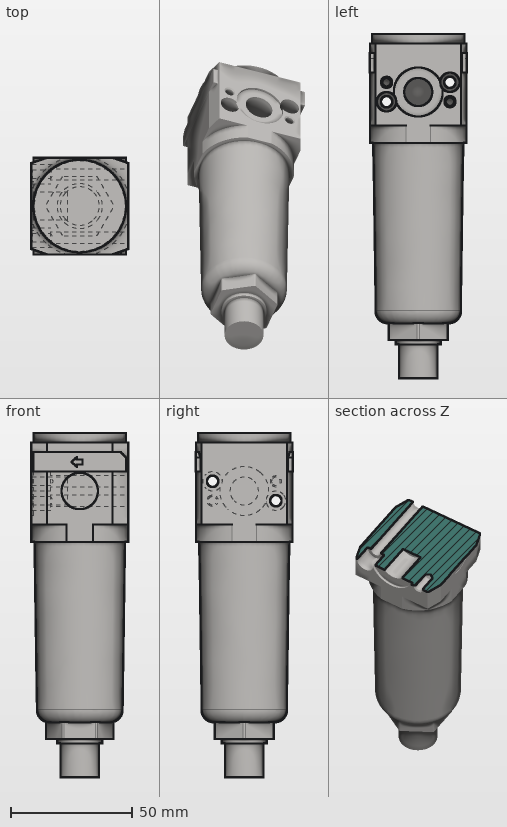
import cadquery as cq
import math

FLANGE_BOTTOM_Z = 14.0
HEX_BOTTOM_Z = 15.7
BOWL_BOTTOM_Z = 22.6
BOWL_ROUND_TOP_Z = 28.0
BODY_BOTTOM_Z = 97.0
COLLAR_TOP_Z = 104.2
BODY_TOP_Z = 138.0
TOTAL_HEIGHT = 142.0

STEM_RADIUS = 8.0
FLANGE_RADIUS = 9.3
HEX_ACROSS_FLATS = 24.5
HEX_CORNER_ROUND = 0.9

BOWL_TOP_RADIUS = 18.7
BOWL_LOWER_RADIUS = 17.7
BOWL_ROUND_RADIUS = BOWL_ROUND_TOP_Z - BOWL_BOTTOM_Z

BODY_WIDTH = 40.0
LABEL_RELIEF = 0.1
BODY_DEPTH = BODY_WIDTH - 2 * LABEL_RELIEF
BEVEL_X = 6.5
BEVEL_Y = 2.2
COLLAR_RADIUS = 20.65
CAP_RADIUS = 19.1

LABEL_WIDTH = 38.2
LABEL_BOTTOM_Z = 126.0
LABEL_TOP_Z = 134.0
LABEL_CORNER_CHAMFER = 2.2

ARROW_TIP_X = -3.4
ARROW_NECK_X = -1.2
ARROW_TAIL_X = 1.2
ARROW_HALF_HEIGHT = 2.0
ARROW_SHAFT_HALF_HEIGHT = 1.0
ARROW_Z = 130.0
ARROW_DEPTH = 0.1

PORT_Z = 118.0
GAUGE_RADIUS = 7.5
GAUGE_DEPTH = 0.1
PORT_RECESS_RADIUS = 10.1
PORT_RECESS_DEPTH = 1.0
PORT_RADIUS = 5.8
PORT_DEPTH = 15.0
BOLT_OFFSET_Y = 13.05
BOLT_OFFSET_Z = 4.0
BOLT_RADIUS = 2.3
COUNTERBORE_RADIUS = 4.0
COUNTERBORE_DEPTH = 8.0
BLIND_HOLE_RADIUS = 1.75
BLIND_HOLE_MOUTH_RADIUS = BOLT_RADIUS
BLIND_HOLE_DEPTH = 8.0
DRILL_POINT_ANGLE = 118.0


def upright_cylinder(radius, bottom_z, top_z):
    """Cylinder on the part's vertical axis between two levels."""
    return cq.Workplane("XY").workplane(offset=bottom_z).circle(radius).extrude(top_z - bottom_z)


def side_hole(radius, depth, y=0.0, z=PORT_Z):
    """Cylinder running inward (+X) from the -X face."""
    return cq.Workplane("YZ", origin=(-BODY_WIDTH / 2, y, z)).circle(radius).extrude(depth)


def drilled_hole(radius, mouth_radius, depth, y, z):
    """Blind hole from the -X face with a 45 degree mouth chamfer and a drill point."""
    point_length = radius / math.tan(math.radians(DRILL_POINT_ANGLE / 2))
    return (
        cq.Workplane("XY", origin=(-BODY_WIDTH / 2, y, z))
        .lineTo(0, mouth_radius)
        .lineTo(mouth_radius - radius, radius)
        .lineTo(depth, radius)
        .lineTo(depth + point_length, 0)
        .close()
        .revolve(360, (0, 0, 0), (1, 0, 0))
    )


def make_drain():
    """Stem, thin flange and hexagon under the bowl; two hexagon corners lie on the X axis."""
    stem = upright_cylinder(STEM_RADIUS, 0, HEX_BOTTOM_Z)
    flange = upright_cylinder(FLANGE_RADIUS, FLANGE_BOTTOM_Z, HEX_BOTTOM_Z)
    across_corners = HEX_ACROSS_FLATS / math.cos(math.radians(30))
    hexagon = (
        cq.Workplane("XY")
        .workplane(offset=HEX_BOTTOM_Z)
        .polygon(6, across_corners)
        .extrude(BOWL_ROUND_TOP_Z - HEX_BOTTOM_Z)
        .edges("|Z")
        .fillet(HEX_CORNER_ROUND)
    )
    return stem.union(flange).union(hexagon)


def make_bowl():
    """Slightly tapered bowl with a quarter-round lower rim."""
    flat_radius = BOWL_LOWER_RADIUS - BOWL_ROUND_RADIUS
    arc_reach = BOWL_ROUND_RADIUS * math.sin(math.radians(45))
    arc_middle = (flat_radius + arc_reach, BOWL_ROUND_TOP_Z - arc_reach)
    return (
        cq.Workplane("XZ")
        .moveTo(0, BOWL_BOTTOM_Z)
        .lineTo(flat_radius, BOWL_BOTTOM_Z)
        .threePointArc(arc_middle, (BOWL_LOWER_RADIUS, BOWL_ROUND_TOP_Z))
        .lineTo(BOWL_TOP_RADIUS, BODY_BOTTOM_Z)
        .lineTo(0, BODY_BOTTOM_Z)
        .close()
        .revolve(360, (0, 0, 0), (0, 1, 0))
    )


def make_body():
    """Bevelled square block, its flat-sided collar and the round cap."""
    half_x = BODY_WIDTH / 2
    half_y = BODY_DEPTH / 2
    quarter = [(half_x, half_y - BEVEL_Y), (half_x - BEVEL_X, half_y)]
    outline = []
    for sign_x, sign_y in [(1, 1), (-1, 1), (-1, -1), (1, -1)]:
        corner = [(sign_x * x, sign_y * y) for x, y in quarter]
        outline += corner if sign_x == sign_y else corner[::-1]
    block = (
        cq.Workplane("XY")
        .workplane(offset=COLLAR_TOP_Z)
        .polyline(outline)
        .close()
        .extrude(BODY_TOP_Z - COLLAR_TOP_Z)
    )
    square = (
        cq.Workplane("XY")
        .workplane(offset=BODY_BOTTOM_Z)
        .rect(BODY_WIDTH, BODY_DEPTH)
        .extrude(COLLAR_TOP_Z - BODY_BOTTOM_Z)
    )
    collar = upright_cylinder(COLLAR_RADIUS, BODY_BOTTOM_Z, COLLAR_TOP_Z).intersect(square)
    cap = upright_cylinder(CAP_RADIUS, BODY_TOP_Z, TOTAL_HEIGHT)
    return block.union(collar).union(cap)


def make_labels():
    """Plates on the front and back faces, each with its upper +X corner cut off."""
    thickness = BEVEL_Y + LABEL_RELIEF
    height = LABEL_TOP_Z - LABEL_BOTTOM_Z
    front = (
        cq.Workplane("XY")
        .box(LABEL_WIDTH, thickness, height, centered=(True, False, False))
        .edges(">X and >Z")
        .chamfer(LABEL_CORNER_CHAMFER)
        .translate((0, -BODY_WIDTH / 2, LABEL_BOTTOM_Z))
    )
    return front.union(front.mirror("XZ"))


def make_arrow():
    """Outline arrow cut into the front label plate."""
    upper = [
        (ARROW_NECK_X, ARROW_HALF_HEIGHT),
        (ARROW_NECK_X, ARROW_SHAFT_HALF_HEIGHT),
        (ARROW_TAIL_X, ARROW_SHAFT_HALF_HEIGHT),
    ]
    lower = [(x, -z) for x, z in reversed(upper)]
    return (
        cq.Workplane("XZ", origin=(0, -BODY_WIDTH / 2, ARROW_Z))
        .polyline([(ARROW_TIP_X, 0)] + upper + lower)
        .close()
        .extrude(-ARROW_DEPTH)
    )


def make_gauge_recess():
    """Shallow round recess in the front face."""
    return (
        cq.Workplane("XZ", origin=(0, -BODY_DEPTH / 2, PORT_Z))
        .circle(GAUGE_RADIUS)
        .extrude(-GAUGE_DEPTH)
    )


def make_side_holes():
    """Port, its recess, and two diagonal pairs of fastener holes on the -X face."""
    holes = side_hole(PORT_RECESS_RADIUS, PORT_RECESS_DEPTH).union(side_hole(PORT_RADIUS, PORT_DEPTH))
    for side in (-1, 1):
        y = side * BOLT_OFFSET_Y
        through_z = PORT_Z - side * BOLT_OFFSET_Z
        blind_z = PORT_Z + side * BOLT_OFFSET_Z
        holes = holes.union(side_hole(BOLT_RADIUS, BODY_WIDTH, y, through_z))
        holes = holes.union(side_hole(COUNTERBORE_RADIUS, COUNTERBORE_DEPTH, y, through_z))
        blind_hole = drilled_hole(BLIND_HOLE_RADIUS, BLIND_HOLE_MOUTH_RADIUS, BLIND_HOLE_DEPTH, y, blind_z)
        holes = holes.union(blind_hole)
    return holes


result = make_drain().union(make_bowl()).union(make_body()).cut(make_gauge_recess())
result = result.union(make_labels()).cut(make_arrow()).cut(make_side_holes())